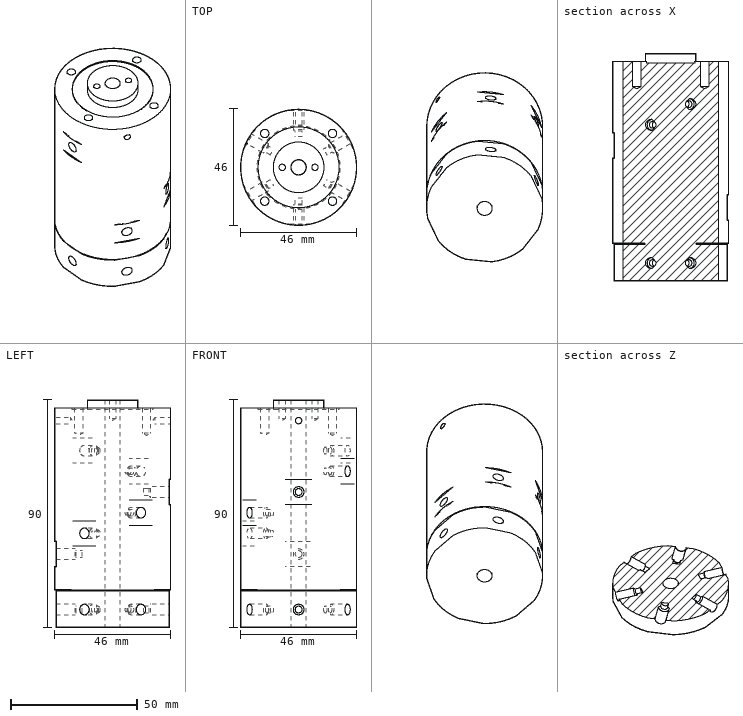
import cadquery as cq
import math

total_height = 90.0
outer_radius = 46.0 / 2
base_height = 14.5
groove_height = 0.45
neck_radius = 16.5
boss_radius = 20.1 / 2
boss_height = 3.1
bore_radius = 3.0
body_top = total_height - boss_height

recess_radius = 16.0
recess_depth = 0.5
recess_floor = body_top - recess_depth

drill_point_angle = 118

rim_hole_offset = 13.4
rim_hole_diameter = 3.3
rim_hole_depth = 9.9
boss_hole_offset = 6.5
boss_hole_diameter = 2.5
boss_hole_depth = 7.2

set_screw_angles = (-90, 90)
set_screw_z = 81.9
set_screw_diameter = 2.5
set_screw_depth = 6.3

port_count = 6
port_step_angle = 360 / port_count
flat_distance = 22.4
flat_height = 10.0
top_port_angle = 30
top_port_z = 70.0
port_pitch = 8.2
base_port_z = 7.1
port_diameter = 4.2
port_depth = 8.1
passage_diameter = 2.7
passage_depth = 10.8


def drilled_hole(mouth, direction, diameter, depth):
    """Cylinder of the given depth from the mouth, ending in a drill point."""
    radius = diameter / 2
    point_length = radius / math.tan(math.radians(drill_point_angle / 2))
    shaft = cq.Solid.makeCylinder(radius, depth, mouth, direction)
    point = cq.Solid.makeCone(radius, 0, point_length, mouth + direction * depth, direction)
    return cq.Workplane(shaft).union(cq.Workplane(point))


def downward_hole(x, y, z, diameter, depth):
    return drilled_hole(cq.Vector(x, y, z), cq.Vector(0, 0, -1), diameter, depth)


def radial_axis(angle, z):
    """Starting point on the outer cylinder and the inward direction."""
    outward = cq.Vector(math.cos(math.radians(angle)), math.sin(math.radians(angle)), 0)
    return outward * outer_radius + cq.Vector(0, 0, z), outward * -1


def set_screw_hole(angle):
    mouth, inward = radial_axis(angle, set_screw_z)
    return drilled_hole(mouth, inward, set_screw_diameter, set_screw_depth)


def port(angle, z):
    """Drilled port with a narrower flat-ended passage beyond its drill point."""
    mouth, inward = radial_axis(angle, z)
    passage = cq.Solid.makeCylinder(passage_diameter / 2, passage_depth, mouth, inward)
    return drilled_hole(mouth, inward, port_diameter, port_depth).union(cq.Workplane(passage))


def flat_cut(angle, z_low, height):
    """Block that mills a flat at flat_distance from the axis."""
    block = cq.Workplane("XY", origin=(flat_distance, 0, z_low)).box(
        outer_radius, 2 * outer_radius, height, centered=(False, True, False)
    )
    return block.rotate((0, 0, 0), (0, 0, 1), angle)


body = cq.Workplane("XY").circle(outer_radius).extrude(body_top)
recess = cq.Workplane("XY", origin=(0, 0, recess_floor)).circle(recess_radius).extrude(recess_depth)
boss = cq.Workplane("XY", origin=(0, 0, recess_floor)).circle(boss_radius).extrude(recess_depth + boss_height)
groove = (
    cq.Workplane("XY", origin=(0, 0, base_height))
    .circle(outer_radius)
    .circle(neck_radius)
    .extrude(groove_height)
)
bore = cq.Workplane("XY").circle(bore_radius).extrude(total_height)
body = body.cut(recess).union(boss).cut(groove).cut(bore)

for i in range(port_count):
    angle = top_port_angle - i * port_step_angle
    z = top_port_z - i * port_pitch
    body = body.cut(flat_cut(angle, 0, base_height))
    body = body.cut(flat_cut(angle, z - flat_height / 2, flat_height))
    body = body.cut(port(angle, base_port_z))
    body = body.cut(port(angle, z))

for angle in set_screw_angles:
    body = body.cut(set_screw_hole(angle))

for side in (-1, 1):
    boss_hole_x = side * boss_hole_offset
    body = body.cut(downward_hole(boss_hole_x, 0, total_height, boss_hole_diameter, boss_hole_depth))
    for end in (-1, 1):
        rim_x = side * rim_hole_offset
        rim_y = end * rim_hole_offset
        body = body.cut(downward_hole(rim_x, rim_y, body_top, rim_hole_diameter, rim_hole_depth))

result = body